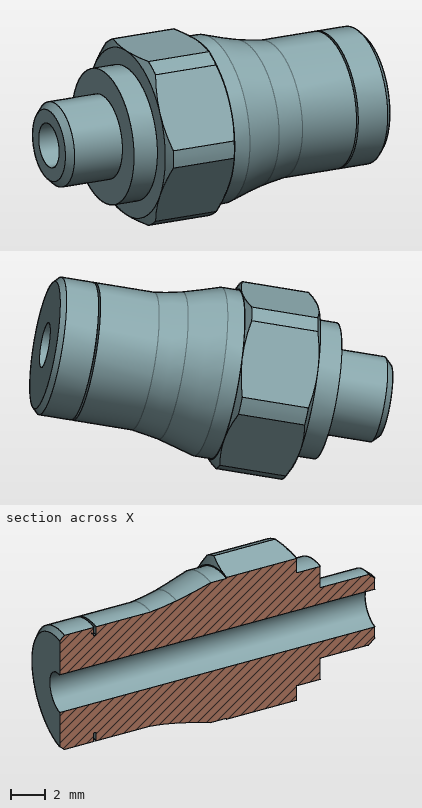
import cadquery as cq
import math

total_length = 20.15
bore_radius = 1.31

spigot_radius = 2.5
tip_radius = 2.12
tip_chamfer_length = 0.4
collar_start = 3.49
collar_radius = 4.0

hex_start = 5.0
hex_end = 9.5
hex_across_flats = 10.0
hex_across_corners = 10.99
hex_corner_radius = hex_across_corners / 2
hex_chamfer_length = 0.28

shoulder_radius = 4.94
shoulder_end = 10.5
flare_middle = 12.7
flare_middle_radius = 4.31
flare_end = 14.35
sleeve_radius = 4.03
groove_start = 17.85
groove_width = 0.12
groove_depth = 0.6
rear_chamfer = 0.3


def revolve_about_y(sketch):
    """Turn a closed XY profile a full circle about the Y axis."""
    return sketch.close().revolve(360, (0, 0, 0), (0, 1, 0))


def make_turned_body():
    profile = (
        cq.Workplane("XY")
        .moveTo(0, 0)
        .lineTo(tip_radius, 0)
        .lineTo(spigot_radius, tip_chamfer_length)
        .lineTo(spigot_radius, collar_start)
        .lineTo(collar_radius, collar_start)
        .lineTo(collar_radius, hex_start)
        .lineTo(shoulder_radius, hex_start)
        .lineTo(shoulder_radius, shoulder_end)
        .lineTo(flare_middle_radius, flare_middle)
        .lineTo(sleeve_radius, flare_end)
        .lineTo(sleeve_radius, total_length - rear_chamfer)
        .lineTo(sleeve_radius - rear_chamfer, total_length)
        .lineTo(0, total_length)
    )
    return revolve_about_y(profile)


def make_hexagon():
    """Hexagonal prism, flats facing +Z and -Z, trimmed by a chamfered turning."""
    prism = (
        cq.Workplane("XZ", origin=(0, hex_start, 0))
        .polygon(6, hex_across_flats / math.cos(math.pi / 6))
        .extrude(hex_start - hex_end)
    )
    face_radius = hex_across_flats / 2
    envelope = (
        cq.Workplane("XY")
        .moveTo(0, hex_start)
        .lineTo(face_radius, hex_start)
        .lineTo(hex_corner_radius, hex_start + hex_chamfer_length)
        .lineTo(hex_corner_radius, hex_end - hex_chamfer_length)
        .lineTo(face_radius, hex_end)
        .lineTo(0, hex_end)
    )
    return prism.intersect(revolve_about_y(envelope))


def make_groove():
    return revolve_about_y(
        cq.Workplane("XY")
        .moveTo(sleeve_radius - groove_depth, groove_start)
        .lineTo(sleeve_radius + groove_depth, groove_start)
        .lineTo(sleeve_radius + groove_depth, groove_start + groove_width)
        .lineTo(sleeve_radius - groove_depth, groove_start + groove_width)
    )


def make_bore():
    return cq.Workplane("XZ").circle(bore_radius).extrude(-total_length)


result = make_turned_body().union(make_hexagon()).cut(make_groove()).cut(make_bore())